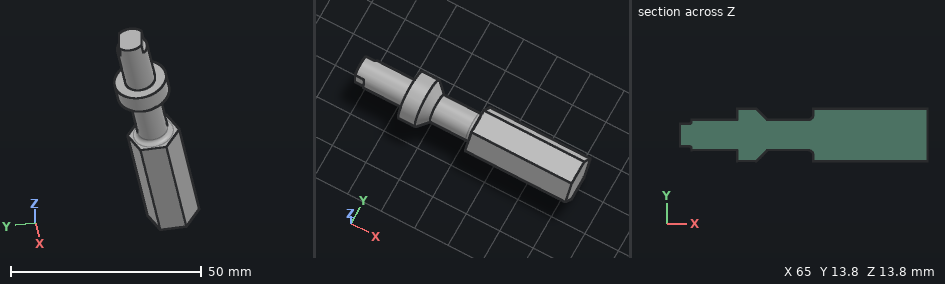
import cadquery as cq
import math

total_length = 65.0
tip_length = 3.0
collar_start = 15.0
collar_width = 5.0
hex_length = 30.0
hex_start = total_length - hex_length

shaft_diameter = 8.05
shaft_radius = shaft_diameter / 2
hex_across_corners = 13.85
collar_radius = hex_across_corners / 2

cone_height = collar_radius - shaft_radius
neck_fillet = 1.3

tip_thickness = 6.0
tip_fillet = 0.5


def turned_body():
    """Shaft with collar, cone and the flared neck, revolved about X."""
    collar_end = collar_start + collar_width
    fillet_start = hex_start - neck_fillet
    fillet_center_radius = shaft_radius + neck_fillet
    arc_offset = neck_fillet * math.sqrt(0.5)
    profile = (
        cq.Workplane("XY")
        .lineTo(0, shaft_radius)
        .lineTo(collar_start, shaft_radius)
        .lineTo(collar_start, collar_radius)
        .lineTo(collar_end, collar_radius)
        .lineTo(collar_end + cone_height, shaft_radius)
        .lineTo(fillet_start, shaft_radius)
        .threePointArc(
            (fillet_start + arc_offset, fillet_center_radius - arc_offset),
            (hex_start, fillet_center_radius),
        )
        .lineTo(hex_start, 0)
        .close()
    )
    return profile.revolve(360, (0, 0, 0), (1, 0, 0))


def hex_handle():
    """Hexagonal bar with corners on +Y and -Y."""
    return (
        cq.Workplane("YZ", origin=(hex_start, 0, 0))
        .polygon(6, hex_across_corners)
        .extrude(hex_length)
    )


def tip_cut(side):
    """Material beside the tip; side is +1 for +Y and -1 for -Y."""
    depth = shaft_radius - tip_thickness / 2
    center_y = side * (tip_thickness + depth) / 2
    return (
        cq.Workplane("XY")
        .box(tip_length, depth, 2 * shaft_radius, centered=(False, True, True))
        .translate((0, center_y, 0))
        .edges(">X and " + ("<Y" if side > 0 else ">Y"))
        .fillet(tip_fillet)
    )


result = turned_body().union(hex_handle())
for side in (1, -1):
    result = result.cut(tip_cut(side))